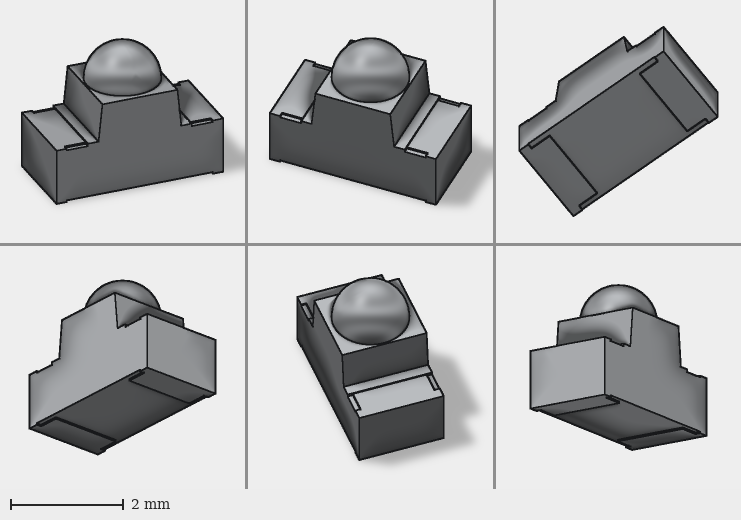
import cadquery as cq

length = 3.21
width = 1.6
total_height = 2.51
pad_thickness = 0.0305
pad_top = 1.065
pad_inner_y = 1.0
pad_shoulder_y = 1.405
pad_side_inset = 0.1
strip_top = 1.085
lens_block_top = 1.817
lens_block_base_length = 1.605
lens_block_top_length = 1.445

board_top = pad_top - pad_thickness
board_height = board_top - pad_thickness
dome_radius = total_height - lens_block_top


def box_from(z_bottom, size_x, size_y, size_z, y_center=0):
    """Box centred on X, standing on the given height."""
    return (
        cq.Workplane("XY", origin=(0, y_center, z_bottom))
        .box(size_x, size_y, size_z, centered=(True, True, False))
    )


def end_pad(side, z_bottom):
    """T-shaped pad: full width at the board end, narrower toward the middle."""
    pad_length = length / 2 - pad_inner_y
    end_length = length / 2 - pad_shoulder_y
    narrow = box_from(
        z_bottom,
        width - 2 * pad_side_inset,
        pad_length,
        pad_thickness,
        side * (length / 2 - pad_length / 2),
    )
    wide = box_from(
        z_bottom,
        width,
        end_length,
        pad_thickness,
        side * (length / 2 - end_length / 2),
    )
    return narrow.union(wide)


result = box_from(pad_thickness, width, length, board_height)
for side in (-1, 1):
    for pad_bottom in (0, board_top):
        result = result.union(end_pad(side, pad_bottom))

result = result.union(
    box_from(board_top, width, 2 * pad_inner_y, strip_top - board_top)
)

lens_block = (
    cq.Workplane("YZ")
    .polyline([
        (-lens_block_base_length / 2, board_top),
        (lens_block_base_length / 2, board_top),
        (lens_block_top_length / 2, lens_block_top),
        (-lens_block_top_length / 2, lens_block_top),
    ])
    .close()
    .extrude(width / 2, both=True)
)
result = result.union(lens_block)

dome = (
    cq.Workplane("XZ", origin=(0, 0, lens_block_top))
    .lineTo(dome_radius, 0)
    .radiusArc((0, dome_radius), -dome_radius)
    .close()
    .revolve(360, (0, 0), (0, 1))
)
result = result.union(dome)